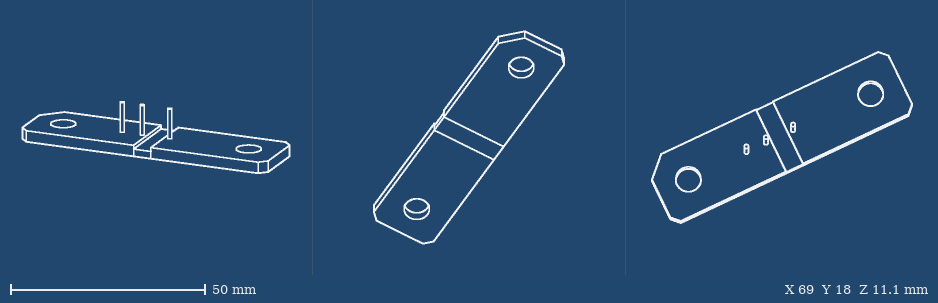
import cadquery as cq

bar_length = 69.0
bar_width = 18.0
total_height = 11.05
plate_thickness = 3.05

strip_length = 4.8
strip_thickness = 2.0

bolt_hole_diameter = 6.5
bolt_hole_spacing = 52.0
small_chamfer = 2.0
large_chamfer = 5.0

pin_diameter = 1.1
pin_height = total_height - plate_thickness
inner_pin_x = 3.85
outer_pin_x = 9.45
pin_positions = [-outer_pin_x, -inner_pin_x, inner_pin_x]



def make_terminal_plate(side, back_chamfer):
    """Plate on one side (-1 left, +1 right); only its outer corners are chamfered."""
    inner_x = side * strip_length / 2
    outer_x = side * bar_length / 2
    half_width = bar_width / 2
    outline = [
        (inner_x, -half_width),
        (outer_x - side * small_chamfer, -half_width),
        (outer_x, -half_width + small_chamfer),
        (outer_x, half_width - back_chamfer),
        (outer_x - side * back_chamfer, half_width),
        (inner_x, half_width),
    ]
    plate = cq.Workplane("XY").polyline(outline).close().extrude(plate_thickness)
    bolt_hole = (
        cq.Workplane("XY")
        .center(side * bolt_hole_spacing / 2, 0)
        .circle(bolt_hole_diameter / 2)
        .extrude(plate_thickness)
    )
    return plate.cut(bolt_hole)


def make_resistive_strip():
    """Thinner strip joining the plates, flush with their undersides."""
    return cq.Workplane("XY").rect(strip_length, bar_width).extrude(strip_thickness)


def make_sense_pin(x):
    """Round pin standing on a plate's top face."""
    return (
        cq.Workplane("XY", origin=(x, 0, plate_thickness))
        .circle(pin_diameter / 2)
        .extrude(pin_height)
    )


left_plate = make_terminal_plate(-1, large_chamfer)
right_plate = make_terminal_plate(1, small_chamfer)
resistive_strip = make_resistive_strip()
sense_pins = [make_sense_pin(x).val() for x in pin_positions]

result = cq.Compound.makeCompound(
    [left_plate.val(), right_plate.val(), resistive_strip.val(), *sense_pins]
)